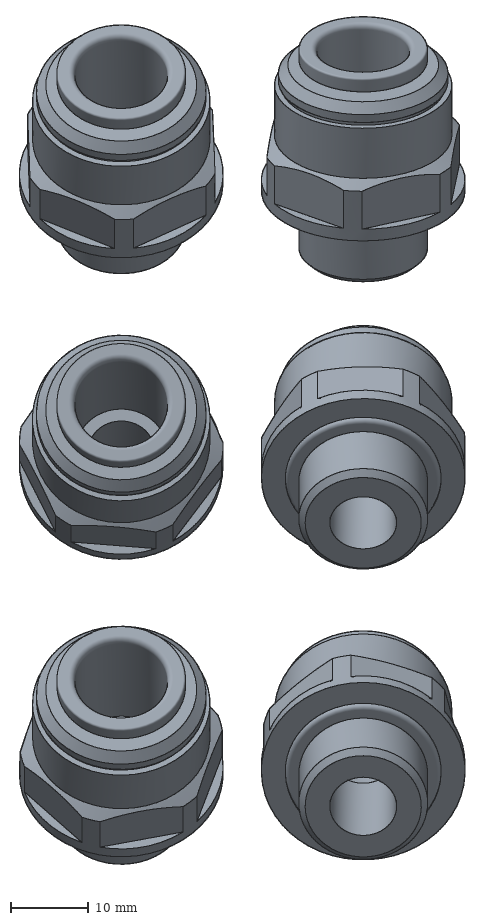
import cadquery as cq
import math

height = 30.6
seal_bottom = 8.48
flange_bottom = 9.27
flange_top = 11.02
hex_corner_top = 16.65
body_top = 25.05
ring_bottom = 25.65
ring_top = 28.03
collar_bottom = 28.58

stub_diameter = 16.7
seal_diameter = 20.2
flange_diameter = 26.4
body_diameter = 23.0
ring_groove_diameter = 21.4
ring_diameter = 22.0
collar_neck_diameter = 13.7
collar_diameter = 16.68

across_flats = 24.0
hex_cone_angle = 30.0
hex_cone_top_diameter = 23.68
body_step_height = 0.18

stub_chamfer = 0.83
seal_radius = 0.55
ring_chamfer = 1.22
ring_taper_height = 0.18
collar_edge_radius = 0.25
collar_neck_flare = 0.2

through_diameter = 8.65
socket_diameter = 12.0
socket_depth = 16.83
mouth_radius = 0.73


def disc(diameter, bottom, top):
    """Vertical cylinder between two heights."""
    return cq.Workplane("XY").workplane(offset=bottom).circle(diameter / 2).extrude(top - bottom)


def cone(bottom_diameter, top_diameter, bottom, cone_height):
    """Short vertical cone easing one diameter into the next."""
    solid = cq.Solid.makeCone(bottom_diameter / 2, top_diameter / 2, cone_height, pnt=cq.Vector(0, 0, bottom))
    return cq.Workplane("XY").add(solid)


def cone_top_height():
    """Height at which the corner cone reaches its top diameter."""
    cone_run = (flange_diameter - hex_cone_top_diameter) / 2
    return hex_corner_top + cone_run * math.tan(math.radians(hex_cone_angle))


def make_hexagon():
    """Hexagon with flats facing +X and -X, its corners trimmed by the flange cylinder and a cone."""
    flange_radius = flange_diameter / 2
    cone_radius = hex_cone_top_diameter / 2
    cone_top = cone_top_height()
    corner_diameter = across_flats / math.cos(math.pi / 6)
    prism = (
        cq.Workplane("XY")
        .workplane(offset=flange_top)
        .polygon(6, corner_diameter)
        .extrude(cone_top - flange_top)
        .rotate((0, 0, 0), (0, 0, 1), 30)
    )
    envelope = (
        cq.Workplane("XZ")
        .moveTo(0, flange_top)
        .lineTo(flange_radius, flange_top)
        .lineTo(flange_radius, hex_corner_top)
        .lineTo(cone_radius, cone_top)
        .lineTo(0, cone_top)
        .close()
        .revolve(360, (0, 0, 0), (0, 1, 0))
    )
    return prism.intersect(envelope)


def make_bore():
    """Through hole opening into a tube socket with a rounded mouth."""
    socket = disc(socket_diameter, height - socket_depth, height)
    socket_radius = socket_diameter / 2
    mouth = (
        cq.Workplane("XZ")
        .moveTo(0, height - mouth_radius)
        .lineTo(socket_radius, height - mouth_radius)
        .radiusArc((socket_radius + mouth_radius, height), mouth_radius)
        .lineTo(0, height)
        .close()
        .revolve(360, (0, 0, 0), (0, 1, 0))
    )
    return disc(through_diameter, 0, height).union(socket).union(mouth)


stub = disc(stub_diameter, 0, flange_bottom).faces("<Z").chamfer(stub_chamfer)
seal = disc(seal_diameter, seal_bottom, flange_bottom).faces("<Z").fillet(seal_radius)
flange = disc(flange_diameter, flange_bottom, flange_top)
body = disc(body_diameter, flange_top, body_top)
body_step = cone(hex_cone_top_diameter, body_diameter, cone_top_height(), body_step_height)
ring_groove = disc(ring_groove_diameter, body_top, ring_bottom)
ring = disc(ring_diameter, ring_bottom, ring_top).faces(">Z").chamfer(ring_chamfer)
ring_taper = cone(ring_groove_diameter, ring_diameter, ring_bottom - ring_taper_height, ring_taper_height)
collar_neck = disc(collar_neck_diameter, ring_top, collar_bottom)
neck_flare = cone(
    collar_neck_diameter,
    collar_neck_diameter + 2 * collar_neck_flare,
    collar_bottom - collar_neck_flare,
    collar_neck_flare,
)
collar = disc(collar_diameter, collar_bottom, height).edges().fillet(collar_edge_radius)

outer_sections = [
    seal,
    flange,
    make_hexagon(),
    body_step,
    body,
    ring_groove,
    ring_taper,
    ring,
    collar_neck,
    neck_flare,
    collar,
]
result = stub
for section in outer_sections:
    result = result.union(section)
result = result.cut(make_bore())